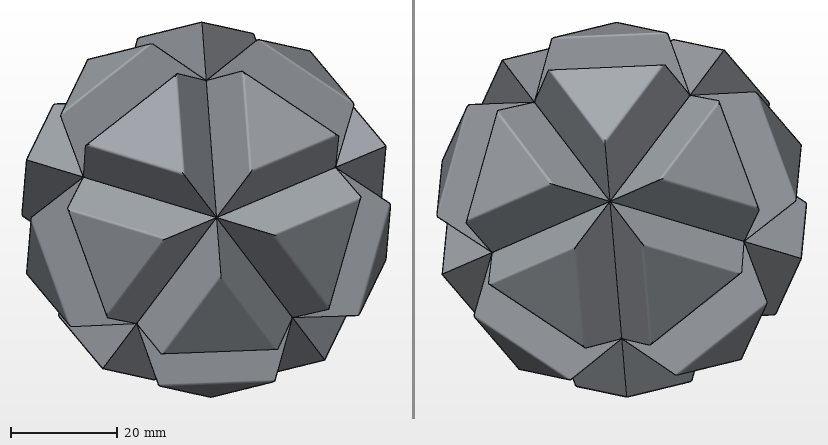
import cadquery as cq
import math


vertex_radius = 28.0
outer_distance = 34.1
wall_taper = 10.5
fillet_radius = 0.5
pieces_per_half = 5

face_distance = vertex_radius * math.sqrt((5 + 2 * math.sqrt(5)) / 15)
face_radius = math.sqrt(vertex_radius**2 - face_distance**2)
face_turn = math.degrees(math.acos(math.sqrt(5) / 3))
band_rise = math.degrees(math.asin(math.sqrt((5 - 2 * math.sqrt(5)) / 15)))
sector = 360 / pieces_per_half

centre = (0, 0, 0)
x_axis = (1, 0, 0)
y_axis = (0, 1, 0)
z_axis = (0, 0, 1)


def make_root():
    """Pyramid from the centre of the ball up to one icosahedron face, axis along +Z."""
    tip = cq.Vector(*centre)
    corners = [
        cq.Vector(
            face_radius * math.cos(math.radians(angle)),
            face_radius * math.sin(math.radians(angle)),
            face_distance,
        )
        for angle in (0, 120, 240)
    ]
    outlines = [corners] + [[tip, corners[i - 1], corners[i]] for i in range(3)]
    faces = [cq.Face.makeFromWires(cq.Wire.makePolygon(points, close=True)) for points in outlines]
    return cq.Solid.makeSolid(cq.Shell.makeShell(faces))


def make_lobe():
    """Tapered block with a rounded rim on its root, axis along +Z and one corner towards +X."""
    block = (
        cq.Workplane("XY")
        .workplane(offset=face_distance)
        .polygon(3, 2 * face_radius)
        .extrude(outer_distance - face_distance, taper=wall_taper)
        .faces(">Z")
        .edges()
        .fillet(fillet_radius)
    )
    return block.union(cq.Workplane(make_root()))


def make_piece():
    """Upper piece facing -Y: a band lobe and the cap lobe above it, joined along one face edge."""
    lobe = make_lobe()
    band_lobe = lobe.rotate(centre, y_axis, 90 - band_rise)
    cap_lobe = lobe.rotate(centre, z_axis, 180).rotate(centre, y_axis, 90 - band_rise - face_turn)
    return band_lobe.union(cap_lobe).rotate(centre, z_axis, -90)


upper_piece = make_piece()
lower_piece = upper_piece.rotate(centre, x_axis, 180)

pieces = []
for half_piece in (upper_piece, lower_piece):
    for index in range(pieces_per_half):
        pieces.append(half_piece.rotate(centre, z_axis, index * sector).val().Solids()[0])

result = cq.Compound.makeCompound(pieces)